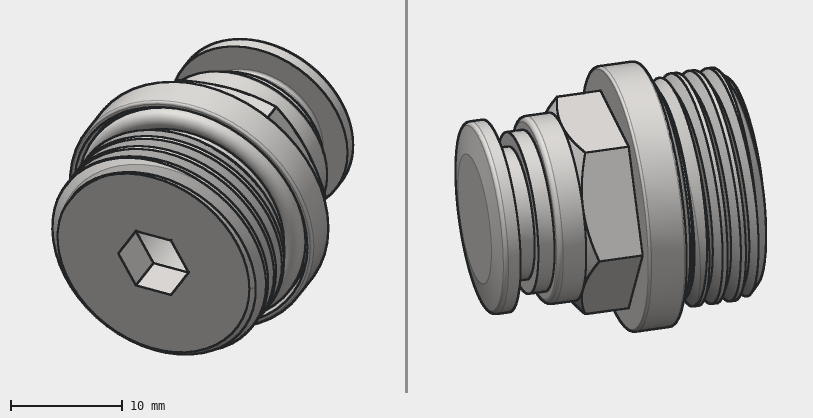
import cadquery as cq
import math


THREAD_RADIUS = 10.47
THREAD_LENGTH = 6.78
THREAD_CHAMFER = 1.03
THREAD_PITCH = 1.7
THREAD_TURNS = 6
THREAD_PHASE = 0.7
GROOVE_START_ANGLE = 206
GROOVE_WIDTH = 1.22
GROOVE_DEPTH = 1.13
GROOVE_OVERCUT = 0.12
NECK_RADIUS = 9.18

SEAL_WIRE_RADIUS = 0.95
SEAL_FRONT = 7.25
SEAL_RING_RADIUS = NECK_RADIUS + SEAL_WIRE_RADIUS
SEAL_OUTER_RADIUS = SEAL_RING_RADIUS + SEAL_WIRE_RADIUS
SEAL_BACK = SEAL_FRONT + 2 * SEAL_WIRE_RADIUS
FLANGE_RADIUS = 12.003
FLANGE_FRONT = 7.98
FLANGE_BACK = 11.53
FLANGE_FILLET = 0.25
RECESS_MOUTH_RADIUS = 11.48

HEX_ACROSS_FLATS = 17.0
HEX_CORNER_RADIUS = HEX_ACROSS_FLATS / 2 / math.cos(math.pi / 6)
HEX_BACK = 16.4
HEX_CHAMFER_DROP = 0.85
SHOULDER_RADIUS = HEX_ACROSS_FLATS / 2
SHOULDER_BACK = 19.01
SHOULDER_FILLET = 0.5

SOCKET_ACROSS_FLATS = 6.0
SOCKET_CORNER_RADIUS = SOCKET_ACROSS_FLATS / 2 / math.cos(math.pi / 6)
SOCKET_DEPTH = 3.75
BORE_RADIUS = 6.0

COLLAR_RADIUS = 7.32
COLLAR_BACK = 20.5

SLEEVE_NECK_RADIUS = 6.02
SLEEVE_NECK_FILLET = 0.3
SLEEVE_FLANGE_RADIUS = 8.7
SLEEVE_FLANGE_FRONT = 22.51
SLEEVE_BACK = 24.47
SLEEVE_FACE_RADIUS = 5.87
SLEEVE_CONE_DROP = 0.5
SLEEVE_RIM_FILLET = 0.4


def revolve_about_y(outline):
    """Revolve a closed outline of the XY plane, X being the radius, about the Y axis."""
    return outline.close().revolve(360, (0, 0, 0), (0, 1, 0))


def cylinder_y(radius, start, end):
    """Cylinder on the Y axis from start to end."""
    return revolve_about_y(
        cq.Workplane("XY").moveTo(0, start).lineTo(radius, start).lineTo(radius, end).lineTo(0, end)
    )


def circle_at(radius, position):
    """Selector of the circular edge about the Y axis with this radius and Y position."""
    margin = 0.02
    low = (-radius - margin, position - margin, -radius - margin)
    high = (radius + margin, position + margin, radius + margin)
    return cq.selectors.BoxSelector(low, high, boundingbox=True)


def hexagon_y(corner_radius, start, end):
    """Hexagonal prism on the Y axis from start to end, with corners on +X and -X."""
    return (
        cq.Workplane("XZ", origin=(0, start, 0))
        .polygon(6, 2 * corner_radius)
        .extrude(start - end)
    )


def thread_groove():
    """Right-handed helical V groove, wound along the Y axis."""
    root_radius = THREAD_RADIUS - GROOVE_DEPTH
    helix = cq.Wire.makeHelix(THREAD_PITCH, THREAD_TURNS * THREAD_PITCH, root_radius)
    mouth_radius = THREAD_RADIUS + GROOVE_OVERCUT
    mouth_half = GROOVE_WIDTH / 2 * (mouth_radius - root_radius) / GROOVE_DEPTH
    groove = (
        cq.Workplane("XZ")
        .moveTo(root_radius, 0)
        .lineTo(mouth_radius, mouth_half)
        .lineTo(mouth_radius, -mouth_half)
        .close()
        .sweep(cq.Workplane(helix), isFrenet=True)
    )
    along_y = groove.rotate((0, 0, 0), (1, 0, 0), -90)
    turned = along_y.rotate((0, 0, 0), (0, 1, 0), GROOVE_START_ANGLE)
    start = THREAD_PHASE + (GROOVE_START_ANGLE / 360 - 2) * THREAD_PITCH
    return turned.translate((0, start, 0))


def threaded_stem():
    """Threaded plug, chamfered at both ends, with a plain neck running back into the flange."""
    grooved_bar = cylinder_y(THREAD_RADIUS, -THREAD_LENGTH, 2 * THREAD_LENGTH).cut(thread_groove())
    envelope = cylinder_y(THREAD_RADIUS, 0, THREAD_LENGTH).faces("<Y or >Y").chamfer(THREAD_CHAMFER)
    thread = envelope.intersect(grooved_bar)
    return thread.union(cylinder_y(NECK_RADIUS, 0, FLANGE_BACK))


def seal_flange():
    """Round flange whose front face has a tapered recess for the O-ring."""
    flange = cylinder_y(FLANGE_RADIUS, FLANGE_FRONT, FLANGE_BACK).edges().fillet(FLANGE_FILLET)
    recess = revolve_about_y(
        cq.Workplane("XY")
        .moveTo(0, FLANGE_FRONT)
        .lineTo(RECESS_MOUTH_RADIUS, FLANGE_FRONT)
        .lineTo(SEAL_OUTER_RADIUS, SEAL_BACK)
        .lineTo(0, SEAL_BACK)
    )
    return flange.cut(recess)


def wrench_hexagon():
    """Hexagon whose back corners are turned down by a cone that starts at the flats."""
    prism = hexagon_y(HEX_CORNER_RADIUS, FLANGE_BACK, HEX_BACK)
    turned_envelope = revolve_about_y(
        cq.Workplane("XY")
        .moveTo(0, FLANGE_BACK)
        .lineTo(FLANGE_RADIUS, FLANGE_BACK)
        .lineTo(HEX_CORNER_RADIUS, HEX_BACK - HEX_CHAMFER_DROP)
        .lineTo(SHOULDER_RADIUS, HEX_BACK)
        .lineTo(0, HEX_BACK)
    )
    return prism.intersect(turned_envelope)


def make_housing():
    """Stem, flange, hexagon and shoulder in one piece, with a key socket opening into a bore."""
    shoulder = cylinder_y(SHOULDER_RADIUS, HEX_BACK, SHOULDER_BACK)
    shoulder = shoulder.faces(">Y").edges().fillet(SHOULDER_FILLET)
    socket = hexagon_y(SOCKET_CORNER_RADIUS, 0, SOCKET_DEPTH)
    bore = cylinder_y(BORE_RADIUS, SOCKET_DEPTH, SHOULDER_BACK)
    solid_housing = threaded_stem().union(seal_flange()).union(wrench_hexagon()).union(shoulder)
    return solid_housing.cut(socket).cut(bore)


def make_o_ring():
    """Round-section seal on the neck, seated in the flange recess."""
    seal_centre = SEAL_FRONT + SEAL_WIRE_RADIUS
    section = cq.Workplane("XY").center(SEAL_RING_RADIUS, seal_centre).circle(SEAL_WIRE_RADIUS)
    return section.revolve(360, (-SEAL_RING_RADIUS, 0, 0), (-SEAL_RING_RADIUS, 1, 0))


def make_collar():
    """Plain round collar on the back of the housing, closing its bore."""
    return cylinder_y(COLLAR_RADIUS, SHOULDER_BACK, COLLAR_BACK)


def make_release_sleeve():
    """Push flange with a shallow conical back and a rounded rim, on a short neck."""
    rim_back = SLEEVE_BACK - SLEEVE_CONE_DROP
    sleeve = revolve_about_y(
        cq.Workplane("XY")
        .moveTo(0, COLLAR_BACK)
        .lineTo(SLEEVE_NECK_RADIUS, COLLAR_BACK)
        .lineTo(SLEEVE_NECK_RADIUS, SLEEVE_FLANGE_FRONT)
        .lineTo(SLEEVE_FLANGE_RADIUS, SLEEVE_FLANGE_FRONT)
        .lineTo(SLEEVE_FLANGE_RADIUS, rim_back)
        .lineTo(SLEEVE_FACE_RADIUS, SLEEVE_BACK)
        .lineTo(0, SLEEVE_BACK)
    )
    rim = circle_at(SLEEVE_FLANGE_RADIUS, rim_back)
    neck_corner = circle_at(SLEEVE_NECK_RADIUS, SLEEVE_FLANGE_FRONT)
    return sleeve.edges(rim).fillet(SLEEVE_RIM_FILLET).edges(neck_corner).fillet(SLEEVE_NECK_FILLET)


housing = make_housing()
o_ring = make_o_ring()
collar = make_collar()
release_sleeve = make_release_sleeve()

result = cq.Compound.makeCompound([housing.val(), o_ring.val(), collar.val(), release_sleeve.val()])